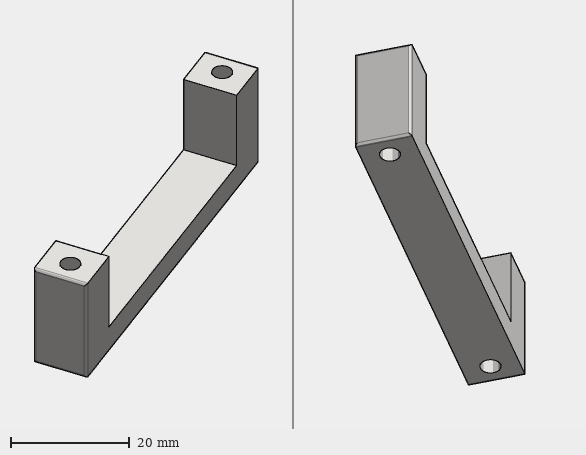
import cadquery as cq

width = 10.0
length = 66.5
height = 20.0

bar_thickness = 5.0
leg_length = 8.65

hole_diameter = 3.5
hole_spacing = 58.5

end_fillet = 0.5


def handle_body():
    """Block with the finger opening cut from above, leaving two legs on a bar."""
    block = cq.Workplane("XY").box(width, length, height, centered=(True, True, False))
    opening = (
        cq.Workplane("XY")
        .workplane(offset=bar_thickness)
        .rect(width, length - 2 * leg_length)
        .extrude(height - bar_thickness)
    )
    return block.cut(opening)


def round_ends(body):
    """Round the four edges bordering each outer end face."""
    return body.faces("<Y or >Y").edges().fillet(end_fillet)


def mounting_holes():
    """Cylinders running the full height of the legs."""
    return (
        cq.Workplane("XY")
        .pushPoints([(0, -hole_spacing / 2), (0, hole_spacing / 2)])
        .circle(hole_diameter / 2)
        .extrude(height)
    )


result = round_ends(handle_body()).cut(mounting_holes())